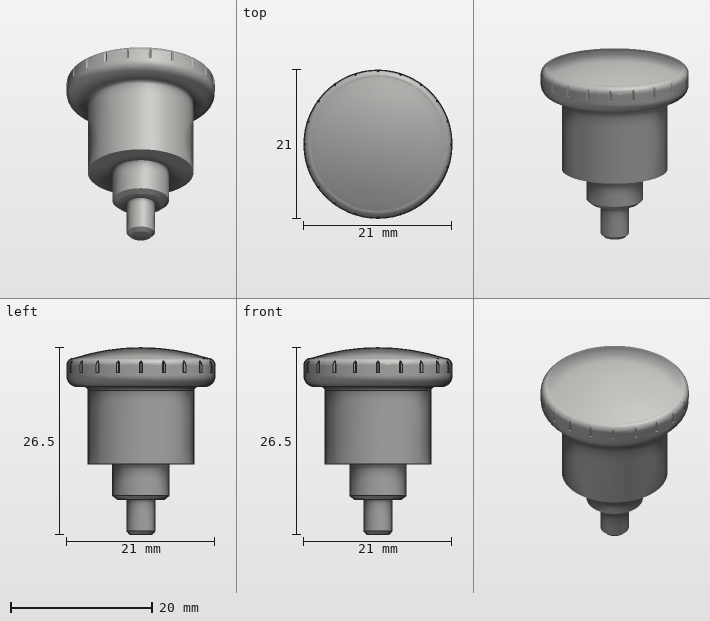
import cadquery as cq
import math

total_height = 26.5
guide_bottom = 5.0
sleeve_bottom = 10.0
knob_bottom = 20.45
rim_bottom = 21.0
flute_bottom = 23.0
top_round_start = 23.98

pin_diameter = 4.0
pin_radius = pin_diameter / 2
guide_radius = 4.0
sleeve_radius = 7.5
rim_radius = 10.5

pin_chamfer = 0.5
guide_chamfer_width = 0.65
guide_chamfer_height = 0.55
neck_round = rim_bottom - knob_bottom
rim_bottom_round = 1.5
rim_top_round = 1.0

flute_count = 20
flute_depth = 0.25
flute_width = 2 * flute_depth


def point_on_round(center_x, center_z, radius, direction):
    """Point of an arc about the given center, at an angle in degrees from +X toward +Z."""
    angle = math.radians(direction)
    return center_x + radius * math.cos(angle), center_z + radius * math.sin(angle)


def make_plunger():
    """Sleeve, guide and pin, turned as one stepped body."""
    outline = (
        cq.Workplane("XZ")
        .lineTo(pin_radius - pin_chamfer, 0)
        .lineTo(pin_radius, pin_chamfer)
        .lineTo(pin_radius, guide_bottom)
        .lineTo(guide_radius - guide_chamfer_width, guide_bottom)
        .lineTo(guide_radius, guide_bottom + guide_chamfer_height)
        .lineTo(guide_radius, sleeve_bottom)
        .lineTo(sleeve_radius, sleeve_bottom)
        .lineTo(sleeve_radius, knob_bottom)
        .lineTo(0, knob_bottom)
        .close()
    )
    return outline.revolve(360, (0, 0), (0, 1))


def make_knob_blank():
    """Domed knob with a rounded rim and a neck that flares out of the sleeve's diameter."""
    neck_top_radius = sleeve_radius + neck_round
    underside_radius = rim_radius - rim_bottom_round
    bottom_round_end = rim_bottom + rim_bottom_round
    dome_edge_radius = rim_radius - rim_top_round
    dome_edge_height = top_round_start + rim_top_round

    dome_rise = total_height - dome_edge_height
    dome_radius = (dome_edge_radius**2 + dome_rise**2) / (2 * dome_rise)
    dome_half_angle = math.degrees(math.asin(dome_edge_radius / dome_radius))

    neck_middle = point_on_round(neck_top_radius, knob_bottom, neck_round, 135)
    bottom_middle = point_on_round(underside_radius, bottom_round_end, rim_bottom_round, -45)
    top_middle = point_on_round(dome_edge_radius, top_round_start, rim_top_round, 45)
    dome_middle = point_on_round(0, total_height - dome_radius, dome_radius, 90 - dome_half_angle / 2)

    outline = (
        cq.Workplane("XZ")
        .moveTo(0, knob_bottom)
        .lineTo(sleeve_radius, knob_bottom)
        .threePointArc(neck_middle, (neck_top_radius, rim_bottom))
        .lineTo(underside_radius, rim_bottom)
        .threePointArc(bottom_middle, (rim_radius, bottom_round_end))
        .lineTo(rim_radius, top_round_start)
        .threePointArc(top_middle, (dome_edge_radius, dome_edge_height))
        .threePointArc(dome_middle, (0, total_height))
        .close()
    )
    return outline.revolve(360, (0, 0), (0, 1))


def make_flute_cutter():
    """Triangular prism whose edge points at the axis; it is extended past the rim to cut cleanly."""
    overshoot = flute_depth
    mouth_radius = rim_radius + overshoot
    mouth_half_width = flute_width / 2 * (flute_depth + overshoot) / flute_depth
    return (
        cq.Workplane("XY", origin=(0, 0, flute_bottom))
        .moveTo(rim_radius - flute_depth, 0)
        .lineTo(mouth_radius, mouth_half_width)
        .lineTo(mouth_radius, -mouth_half_width)
        .close()
        .extrude(total_height - flute_bottom)
    )


def make_knob():
    knob = make_knob_blank()
    cutter = make_flute_cutter()
    for index in range(flute_count):
        turn = index * 360 / flute_count
        knob = knob.cut(cutter.rotate((0, 0, 0), (0, 0, 1), turn))
    return knob


plunger = make_plunger()
knob = make_knob()

result = cq.Compound.makeCompound([plunger.val(), knob.val()])